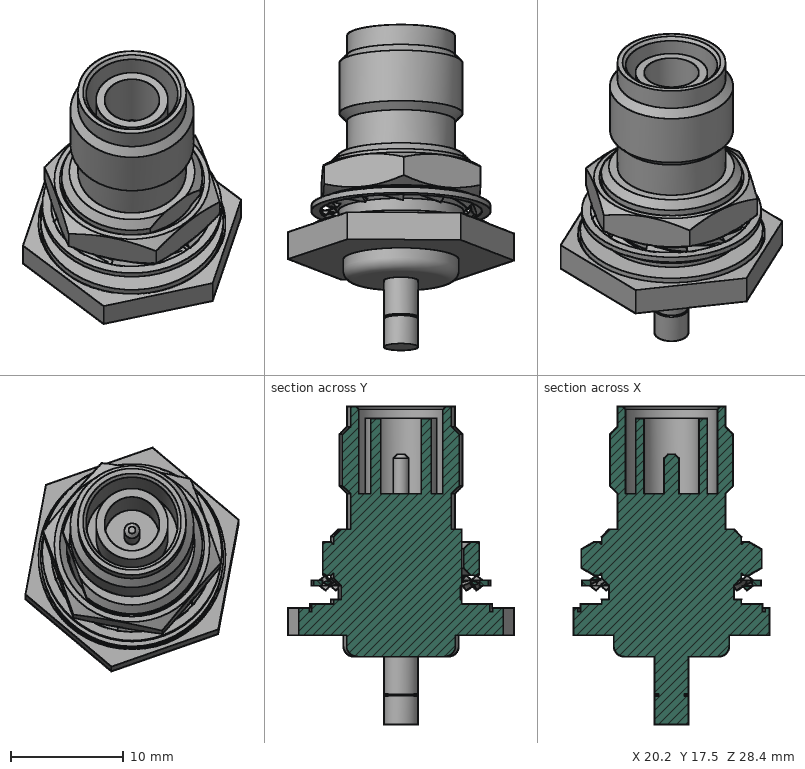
import cadquery as cq
import math


flange_across_flats = 17.5
flange_bottom = 7.95
flange_top = 10.42
seal_radius = 8.15
seal_top = 10.75
seal_recess_radius = 8.35
seal_recess_depth = 0.35

boss_radius = 5.17
boss_bottom = 6.05
boss_fillet = 0.97
tube_radius = 1.53
tube_groove_radius = 1.16
tube_groove_bottom = 2.55
tube_groove_top = 2.73

thread_radius = 6.28
undercut_radius = 5.6
undercut_bottom = 11.15
thread_bottom = 13.05
thread_top = 17.45
thread_chamfer = thread_radius - undercut_radius
thread_flat_x = 5.42

sleeve_radius = 4.83
sleeve_top = 28.4
band_radius = 5.5
band_bottom = 20.62
band_top = 26.58
band_chamfer = band_radius - sleeve_radius

socket_radius = 4.1
socket_mouth_chamfer = 0.28
socket_floor = band_bottom
insulator_radius = 3.2
insulator_bore_radius = 2.45
insulator_top = 27.32
contact_radius = 0.68
contact_tip_radius = 0.3
contact_top = 24.15
contact_tip_chamfer = contact_radius - contact_tip_radius

nut_across_flats = 13.97
nut_bottom = 13.32
nut_top = 16.3
nut_face_radius = 6.93
nut_corner_angle = 30.0
nut_turn = 30.0
nut_bore_radius = 5.82
nut_countersink_radius = 6.45

washer_radius = 8.0
washer_inner_radius = 7.2
washer_bottom = 12.38
washer_top = 12.9
tooth_count = 12
tooth_inner_radius = 6.3
tooth_ridge_radius = 6.73
tooth_outer_radius = 7.27
tooth_rise = nut_bottom - washer_top
tooth_sections = 5


def revolve_profile(points):
    """Solid of revolution about Z from a closed outline of (radius, height) points."""
    outline = cq.Workplane("XZ").polyline(points).close()
    return outline.revolve(360, (0, 0, 0), (0, 1, 0))


def cylinder(radius, bottom, top):
    return cq.Workplane("XY").workplane(offset=bottom).circle(radius).extrude(top - bottom)


def hexagon_corner_radius(across_flats):
    return across_flats / 2 / math.cos(math.pi / 6)


def hexagon(across_flats, bottom, top):
    """Hexagonal prism with two corners on the X axis."""
    across_corners = 2 * hexagon_corner_radius(across_flats)
    return cq.Workplane("XY").workplane(offset=bottom).polygon(6, across_corners).extrude(top - bottom)


def make_flange():
    plate = hexagon(flange_across_flats, flange_bottom, flange_top)
    recess = cylinder(seal_recess_radius, flange_top - seal_recess_depth, flange_top)
    seal = cylinder(seal_radius, flange_top - seal_recess_depth, seal_top)
    return plate.cut(recess).union(seal)


def make_rear_end():
    boss = cylinder(boss_radius, boss_bottom, flange_bottom).faces("<Z").edges().fillet(boss_fillet)
    tube = revolve_profile([
        (0, 0),
        (tube_radius, 0),
        (tube_radius, tube_groove_bottom),
        (tube_groove_radius, tube_groove_bottom),
        (tube_groove_radius, tube_groove_top),
        (tube_radius, tube_groove_top),
        (tube_radius, boss_bottom),
        (0, boss_bottom),
    ])
    return boss.union(tube)


def make_mounting_thread():
    thread = revolve_profile([
        (0, seal_top),
        (thread_radius, seal_top),
        (thread_radius, undercut_bottom),
        (undercut_radius, undercut_bottom),
        (undercut_radius, thread_bottom - thread_chamfer),
        (thread_radius, thread_bottom),
        (thread_radius, thread_top - thread_chamfer),
        (thread_radius - thread_chamfer, thread_top),
        (0, thread_top),
    ])
    height = thread_top - seal_top
    beyond_flat = (
        cq.Workplane("XY")
        .box(thread_radius, 2 * thread_radius, height, centered=(False, True, False))
        .translate((thread_flat_x, 0, seal_top))
    )
    return thread.cut(beyond_flat)


def make_nut():
    """Nut with two corners on the Y axis, its corners and its bore mouths bevelled at both ends."""
    corner_radius = hexagon_corner_radius(nut_across_flats)
    corner_drop = (corner_radius - nut_face_radius) * math.tan(math.radians(nut_corner_angle))
    corner_cone = revolve_profile([
        (0, nut_bottom),
        (nut_face_radius, nut_bottom),
        (corner_radius, nut_bottom + corner_drop),
        (corner_radius, nut_top - corner_drop),
        (nut_face_radius, nut_top),
        (0, nut_top),
    ])
    countersink = nut_countersink_radius - nut_bore_radius
    bore = revolve_profile([
        (0, nut_bottom),
        (nut_countersink_radius, nut_bottom),
        (nut_bore_radius, nut_bottom + countersink),
        (nut_bore_radius, nut_top - countersink),
        (nut_countersink_radius, nut_top),
        (0, nut_top),
    ])
    prism = hexagon(nut_across_flats, nut_bottom, nut_top).rotate((0, 0, 0), (0, 0, 1), nut_turn)
    return prism.intersect(corner_cone).cut(bore)


def make_sleeve():
    """Mating sleeve around the open socket, with the insulator ring and contact inside."""
    return revolve_profile([
        (0, thread_top),
        (sleeve_radius, thread_top),
        (sleeve_radius, band_bottom),
        (band_radius, band_bottom + band_chamfer),
        (band_radius, band_top - band_chamfer),
        (sleeve_radius, band_top),
        (sleeve_radius, sleeve_top),
        (socket_radius + socket_mouth_chamfer, sleeve_top),
        (socket_radius, sleeve_top - socket_mouth_chamfer),
        (socket_radius, socket_floor),
        (insulator_radius, socket_floor),
        (insulator_radius, insulator_top),
        (insulator_bore_radius, insulator_top),
        (insulator_bore_radius, socket_floor),
        (contact_radius, socket_floor),
        (contact_radius, contact_top - contact_tip_chamfer),
        (contact_tip_radius, contact_top),
        (0, contact_top),
    ])


def make_connector():
    connector = make_flange()
    for section in (make_rear_end(), make_mounting_thread(), make_nut(), make_sleeve()):
        connector = connector.union(section)
    return connector


def tooth_section(angle, fall):
    """Cross-section of a tooth: a ridge above the ring at fall 0, turned to one below it at fall 1."""
    edge = washer_top - fall * (washer_top - washer_bottom)
    ridge_top = edge + (1 - fall) * tooth_rise
    ridge_bottom = edge - fall * tooth_rise
    corners = [(tooth_inner_radius, edge), (tooth_ridge_radius, ridge_top), (tooth_outer_radius, edge)]
    corners.append((tooth_ridge_radius, ridge_bottom))
    x, y = math.cos(angle), math.sin(angle)
    return [cq.Vector(radius * x, radius * y, height) for radius, height in corners]


def make_tooth():
    pitch = 2 * math.pi / tooth_count
    wires = []
    for i in range(tooth_sections):
        fall = i / (tooth_sections - 1)
        wires.append(cq.Wire.makePolygon(tooth_section(fall * pitch, fall), close=True))
    return cq.Workplane(obj=cq.Solid.makeLoft(wires))


def make_lock_washer():
    washer = cylinder(washer_radius, washer_bottom, washer_top)
    washer = washer.cut(cylinder(washer_inner_radius, washer_bottom, washer_top))
    tooth = make_tooth()
    for i in range(tooth_count):
        washer = washer.union(tooth.rotate((0, 0, 0), (0, 0, 1), i * 360 / tooth_count))
    return washer


connector = make_connector()
lock_washer = make_lock_washer()
result = cq.Compound.makeCompound([connector.val(), lock_washer.val()])